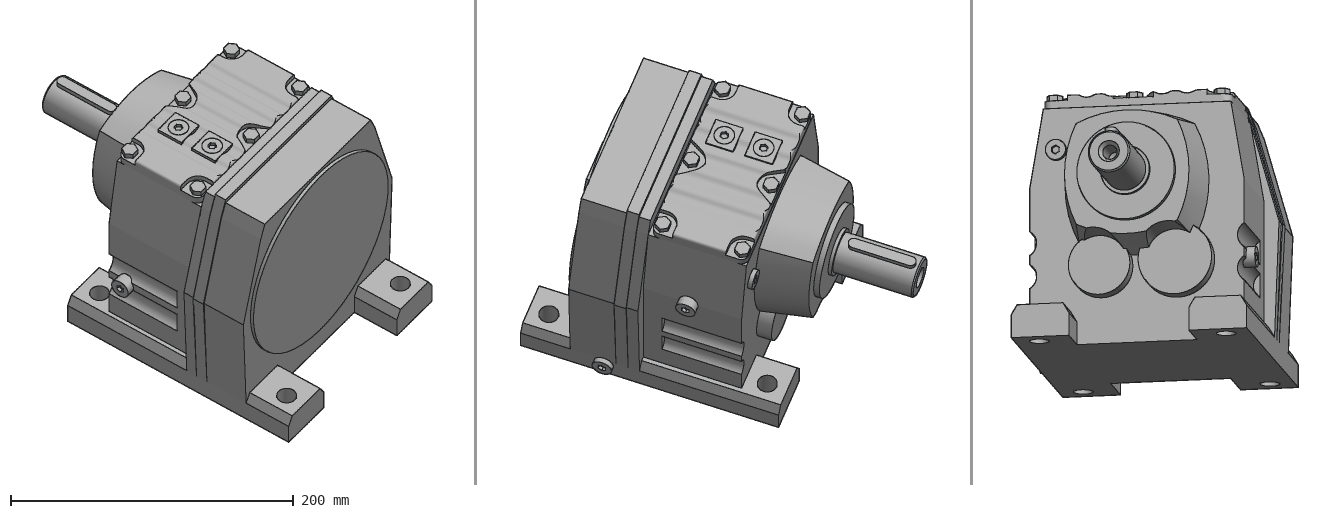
import cadquery as cq
import math

SHAFT_Z = 115.0
OVERLAP = 2.7

FOOT_X0 = 75.0
FOOT_X1 = 270.0
FOOT_INNER_Y = 43.2
FOOT_OUTER_Y = 84.8
FOOT_HEIGHT = 23.8
FOOT_SHOULDER_Z = 16.5
FOOT_BEVEL_WIDTH = 4.3
FOOT_HOLE_DIAMETER = 14.0
FOOT_HOLE_X = (90.2, 255.2)
FOOT_HOLE_Y = 67.2

BODY_X0 = 105.8
BODY_X1 = 180.0
BODY_HALF_WIDTH = 77.2
BODY_TOP_Z = 172.0
BODY_TOP_HALF_WIDTH = 67.5

SIDE_GROOVE_X1 = 165.8
SIDE_GROOVE_Z = (50.8, 74.8)
SIDE_GROOVE_HALF_HEIGHT = 8.6
SIDE_GROOVE_DEPTH = 4.9

CASING_X1 = 232.5
CASING_TOP_Z = 183.5
CASING_WAIST_Z = 100.7
CASING_WAIST_HALF_WIDTH = 88.0
CASING_TOP_HALF_WIDTH = 62.6
RIM_X0 = 188.7
RIM_X1 = 198.0
RIM_TOP_Z = 186.5
RIM_STEP_Y = 0.95
DISC_THICKNESS = 2.7
DISC_RADIUS = 79.6
DISC_Z = 101.5

BELL_X0 = 67.2
BELL_BASE_CORNER = 41.5
BELL_BASE_REACH = 51.8
BELL_TIP_CORNER = 36.5
BELL_TIP_REACH = 44.8

CAPS = ((25.0, 55.4, 22.1), (-29.5, 57.8, 26.5))
CAP_X0 = 94.5
CAP_POCKET_RADIUS = 20.5

SHAFT_LENGTH = 60.2
SHAFT_RADIUS = 30.0 / 2
SHAFT_CHAMFER = 1.0
COLLAR_RADIUS = 17.5
FLANGE_X0 = 63.0
FLANGE_RADIUS = 35.0
KEY_X0 = 3.2
KEY_X1 = 54.0
KEY_WIDTH = 7.8
KEY_TOP_Z = 133.0
CENTRE_HOLE_RADIUS = 5.0
CENTRE_HOLE_DEPTH = 27.0
CENTRE_MOUTH_RADIUS = 7.5
CENTRE_MOUTH_DEPTH = 4.0
CENTRE_TIP_LENGTH = 3.0

LID_X0 = 106.0
LID_X1 = 178.0
LID_TOP_Z = 181.7
LID_CORNER_RADIUS = 6.0
LID_EDGE_RADIUS = 2.2
WAVE_PITCH = 18.0
WAVE_DEPTH = 2.5
WAVE_COUNT = 5
BOLT_X = (111.5, 171.7)
BOLT_CORNER_Y = 60.2
BOLT_MIDDLE_Y = 2.7
BOLT_FLATS = 10.0
SEAT_Z = 177.7
SEAT_RADIUS = 10.0
SEAT_FLARE = math.radians(30)
PAD_X = (127.0, 156.5)
PAD_Y = -23.2
PAD_SIZE = 20.8
PAD_TOP_Z = 182.0
VENT_PLUG_HEIGHT = 0.3

PLUG_DIAMETER = 14.5
SOCKET_FLATS = 5.5
SOCKET_DEPTH = 2.7
FRONT_PLUG_Y = 58.0
FRONT_PLUG_Z = 141.5
FRONT_PLUG_HEIGHT = 3.5
SIDE_PLUG_REACH_Y = 83.5
MINUS_Y_PLUG = (120.2, 61.5)
PLUS_Y_PLUG = (146.0, 114.2)
DRAIN_PLUG = (207.0, 11.0)
DRAIN_PLUG_REACH_Y = 88.8


def hex_diameter(flats):
    """Corner-to-corner size of a hexagon."""
    return flats / math.cos(math.pi / 6)


def prism_along_x(half_outline, x0, x1):
    """Extrude an outline given as its +Y half (Y, Z points) and mirrored about Y = 0."""
    mirrored = [(-y, z) for y, z in reversed(half_outline)]
    plane = cq.Workplane("YZ", origin=(x0, 0, 0))
    return plane.polyline(half_outline + mirrored).close().extrude(x1 - x0)


def cylinder_along_x(y, z, radius, x0, x1):
    return cq.Workplane("YZ", origin=(x0, y, z)).circle(radius).extrude(x1 - x0)


def plug(face, outward, socket_corner, height):
    """Head and hexagonal socket of a round screw plug standing on a face point."""
    plane = cq.Plane(origin=face, xDir=socket_corner, normal=outward)
    head = cq.Workplane(plane).workplane(offset=-OVERLAP).circle(PLUG_DIAMETER / 2)
    head = head.extrude(height + OVERLAP)
    socket = cq.Workplane(plane).workplane(offset=height - SOCKET_DEPTH)
    socket = socket.polygon(6, hex_diameter(SOCKET_FLATS)).extrude(SOCKET_DEPTH)
    return head, socket


def foot(side):
    shoulder_inner = FOOT_INNER_Y + FOOT_BEVEL_WIDTH
    shoulder_outer = FOOT_OUTER_Y - FOOT_BEVEL_WIDTH
    outline = [
        (side * FOOT_INNER_Y, 0),
        (side * FOOT_OUTER_Y, 0),
        (side * FOOT_OUTER_Y, FOOT_SHOULDER_Z),
        (side * shoulder_outer, FOOT_HEIGHT),
        (side * shoulder_inner, FOOT_HEIGHT),
        (side * FOOT_INNER_Y, FOOT_SHOULDER_Z),
    ]
    bar = cq.Workplane("YZ", origin=(FOOT_X0, 0, 0)).polyline(outline).close()
    bar = bar.extrude(FOOT_X1 - FOOT_X0)
    holes = cq.Workplane("XY").pushPoints([(x, side * FOOT_HOLE_Y) for x in FOOT_HOLE_X])
    return bar.cut(holes.circle(FOOT_HOLE_DIAMETER / 2).extrude(FOOT_HEIGHT))


def housing():
    half_outline = [
        (BODY_HALF_WIDTH, 0),
        (BODY_HALF_WIDTH, SHAFT_Z),
        (BODY_TOP_HALF_WIDTH, BODY_TOP_Z),
    ]
    body = prism_along_x(half_outline, BODY_X0, BODY_X1)
    chord, depth = SIDE_GROOVE_HALF_HEIGHT, SIDE_GROOVE_DEPTH
    radius = (chord ** 2 + depth ** 2) / (2 * depth)
    for side in (1, -1):
        for z in SIDE_GROOVE_Z:
            y = side * (BODY_HALF_WIDTH - depth + radius)
            body = body.cut(cylinder_along_x(y, z, radius, BODY_X0, SIDE_GROOVE_X1))
    return body


def casing_plate(step_y, top_z, x0, x1):
    half_outline = [
        (FOOT_OUTER_Y, 0),
        (FOOT_OUTER_Y, FOOT_SHOULDER_Z),
        (CASING_WAIST_HALF_WIDTH + step_y, CASING_WAIST_Z),
        (BODY_TOP_HALF_WIDTH + step_y, BODY_TOP_Z),
        (CASING_TOP_HALF_WIDTH, top_z),
    ]
    return prism_along_x(half_outline, x0, x1)


def casing():
    plates = casing_plate(0, CASING_TOP_Z, BODY_X1, CASING_X1)
    rim = casing_plate(RIM_STEP_Y, RIM_TOP_Z, RIM_X0, RIM_X1)
    disc = cylinder_along_x(0, DISC_Z, DISC_RADIUS, CASING_X1, CASING_X1 + DISC_THICKNESS)
    return plates.union(rim).union(disc)


def bowed_square(workplane, corner, reach):
    """Square outline whose four sides bow outward as arcs."""
    return (
        workplane.moveTo(corner, corner)
        .threePointArc((0, reach), (-corner, corner))
        .threePointArc((-reach, 0), (-corner, -corner))
        .threePointArc((0, -reach), (corner, -corner))
        .threePointArc((reach, 0), (corner, corner))
        .close()
    )


def bell():
    tip = cq.Workplane("YZ", origin=(BELL_X0, 0, SHAFT_Z))
    base = bowed_square(tip, BELL_TIP_CORNER, BELL_TIP_REACH).workplane(offset=BODY_X0 - BELL_X0)
    shell = bowed_square(base, BELL_BASE_CORNER, BELL_BASE_REACH).loft(ruled=True)
    for y, z, radius in CAPS:
        shell = shell.cut(cylinder_along_x(y, z, CAP_POCKET_RADIUS, BELL_X0, CAP_X0))
        shell = shell.union(cylinder_along_x(y, z, radius, CAP_X0, BODY_X0))
    return shell


def centre_hole():
    """Blind hole in the shaft end, with a conical mouth and a drill-point bottom."""
    profile = [
        (0, 0),
        (0, CENTRE_MOUTH_RADIUS),
        (CENTRE_MOUTH_DEPTH, CENTRE_HOLE_RADIUS),
        (CENTRE_HOLE_DEPTH, CENTRE_HOLE_RADIUS),
        (CENTRE_HOLE_DEPTH + CENTRE_TIP_LENGTH, 0),
    ]
    half = cq.Workplane("XZ", origin=(0, 0, SHAFT_Z)).polyline(profile).close()
    return half.revolve(360, (0, 0), (1, 0))


def output_shaft():
    shaft = cylinder_along_x(0, SHAFT_Z, SHAFT_RADIUS, 0, SHAFT_LENGTH)
    shaft = shaft.faces("<X").chamfer(SHAFT_CHAMFER)
    shaft = shaft.union(cylinder_along_x(0, SHAFT_Z, COLLAR_RADIUS, SHAFT_LENGTH, FLANGE_X0))
    shaft = shaft.union(cylinder_along_x(0, SHAFT_Z, FLANGE_RADIUS, FLANGE_X0, BELL_X0))
    key = cq.Workplane("XY", origin=((KEY_X0 + KEY_X1) / 2, 0, SHAFT_Z))
    key = key.slot2D(KEY_X1 - KEY_X0, KEY_WIDTH).extrude(KEY_TOP_Z - SHAFT_Z)
    return shaft.union(key).cut(centre_hole())


def lid_waves():
    """Material above the lid's wavy middle: tangent arcs, crest to trough and back."""
    quarter = WAVE_PITCH / 4
    half_depth = WAVE_DEPTH / 2
    radius = (quarter ** 2 + half_depth ** 2) / (2 * half_depth)
    bend = math.asin(quarter / radius) / 2
    rise = radius * (1 - math.cos(bend))
    run = radius * math.sin(bend)
    left = -WAVE_COUNT * WAVE_PITCH / 2
    low = LID_TOP_Z - WAVE_DEPTH
    waves = cq.Workplane("YZ", origin=(LID_X0, 0, 0)).moveTo(left, LID_TOP_Z)
    for index in range(WAVE_COUNT):
        trough = left + (index + 0.5) * WAVE_PITCH
        crest = trough + WAVE_PITCH / 2
        start = trough - WAVE_PITCH / 2
        waves = (
            waves.threePointArc((start + run, LID_TOP_Z - rise), (start + quarter, low + half_depth))
            .threePointArc((trough - run, low + rise), (trough, low))
            .threePointArc((trough + run, low + rise), (trough + quarter, low + half_depth))
            .threePointArc((crest - run, LID_TOP_Z - rise), (crest, LID_TOP_Z))
        )
    waves = waves.lineTo(-left, LID_TOP_Z + OVERLAP).lineTo(left, LID_TOP_Z + OVERLAP)
    return waves.close().extrude(LID_X1 - LID_X0)


def corner_seat(x, y, out_x, out_y):
    """Recess around a corner bolt, open towards the two outer sides."""
    seat = cq.Workplane("XY", origin=(x, y, SEAT_Z))
    reach = 2 * SEAT_RADIUS
    seat = (
        seat.moveTo(out_x * reach, -out_y * SEAT_RADIUS)
        .lineTo(0, -out_y * SEAT_RADIUS)
        .threePointArc(
            (-out_x * SEAT_RADIUS * math.sqrt(0.5), -out_y * SEAT_RADIUS * math.sqrt(0.5)),
            (-out_x * SEAT_RADIUS, 0),
        )
        .lineTo(-out_x * SEAT_RADIUS, out_y * reach)
        .lineTo(out_x * reach, out_y * reach)
        .close()
    )
    return seat.extrude(LID_TOP_Z + OVERLAP - SEAT_Z)


def middle_seat(x, y, out_x):
    """Recess around a middle bolt, flaring towards the lid end."""
    tangent_x = -out_x * SEAT_RADIUS * math.sin(SEAT_FLARE)
    tangent_y = SEAT_RADIUS * math.cos(SEAT_FLARE)
    reach = 2 * SEAT_RADIUS
    end_y = tangent_y + (reach - out_x * tangent_x) * math.tan(SEAT_FLARE)
    seat = cq.Workplane("XY", origin=(x, y, SEAT_Z)).moveTo(out_x * reach, -end_y)
    seat = seat.lineTo(tangent_x, -tangent_y)
    seat = seat.threePointArc((-out_x * SEAT_RADIUS, 0), (tangent_x, tangent_y))
    return seat.lineTo(out_x * reach, end_y).close().extrude(LID_TOP_Z + OVERLAP - SEAT_Z)


def lid():
    length = LID_X1 - LID_X0
    cover = cq.Workplane("XY", origin=((LID_X0 + LID_X1) / 2, 0, BODY_TOP_Z))
    cover = cover.rect(length, 2 * BODY_TOP_HALF_WIDTH).extrude(LID_TOP_Z - BODY_TOP_Z)
    cover = cover.edges("|Z").fillet(LID_CORNER_RADIUS)
    cover = cover.faces(">Z").edges().fillet(LID_EDGE_RADIUS)
    cover = cover.cut(lid_waves())
    bolts = []
    for x, out_x in zip(BOLT_X, (-1, 1)):
        for out_y in (1, -1):
            cover = cover.cut(corner_seat(x, out_y * BOLT_CORNER_Y, out_x, out_y))
            bolts.append((x, out_y * BOLT_CORNER_Y))
        cover = cover.cut(middle_seat(x, BOLT_MIDDLE_Y, out_x))
        bolts.append((x, BOLT_MIDDLE_Y))
    for x, y in bolts:
        head = cq.Workplane("XY", origin=(x, y, BODY_TOP_Z)).transformed(rotate=(0, 0, 90))
        head = head.polygon(6, hex_diameter(BOLT_FLATS)).extrude(LID_TOP_Z - BODY_TOP_Z)
        cover = cover.union(head)
    for x in PAD_X:
        pad = cq.Workplane("XY", origin=(x, PAD_Y, BODY_TOP_Z)).rect(PAD_SIZE, PAD_SIZE)
        cover = cover.union(pad.extrude(PAD_TOP_Z - BODY_TOP_Z))
    return cover


def screw_plugs():
    up, along_y = (0, 0, 1), (0, 1, 0)
    vents = [plug((x, PAD_Y, PAD_TOP_Z), up, along_y, VENT_PLUG_HEIGHT) for x in PAD_X]
    front = plug((BODY_X0, FRONT_PLUG_Y, FRONT_PLUG_Z), (-1, 0, 0), up, FRONT_PLUG_HEIGHT)
    side_height = SIDE_PLUG_REACH_Y - BODY_HALF_WIDTH
    x, z = MINUS_Y_PLUG
    minus_y = plug((x, -BODY_HALF_WIDTH, z), (0, -1, 0), up, side_height)
    x, z = PLUS_Y_PLUG
    plus_y = plug((x, BODY_HALF_WIDTH, z), along_y, up, side_height)
    x, z = DRAIN_PLUG
    drain = plug((x, FOOT_OUTER_Y, z), along_y, up, DRAIN_PLUG_REACH_Y - FOOT_OUTER_Y)
    return vents + [front, minus_y, plus_y, drain]


result = housing().union(casing()).union(foot(1)).union(foot(-1))
result = result.union(bell()).union(output_shaft()).union(lid())
for head, socket in screw_plugs():
    result = result.union(head).cut(socket)